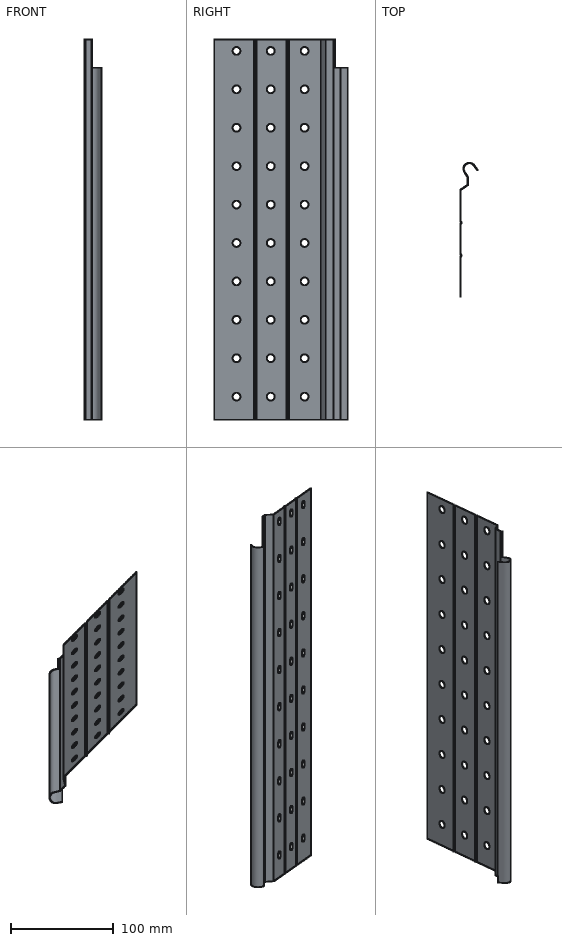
import cadquery as cq
import math

length = 370.0
width = 130.2
depth = 17.0
thickness = 0.55

bead_positions = (40.0, 71.8)
bead_half_width = 1.3
bead_depth = 0.92
step_start_y = 104.0
land_x = 7.0
land_start_y = 108.8
land_end_y = 116.0

hook_radius = 6.0
hook_center_x = 9.0
hook_center_y = width - hook_radius
tip_angle = math.radians(54)

notch_height = 27.5
notch_start_y = 118.0

hole_diameter = 7.5
hole_columns = (22.0, 55.0, 88.0)
hole_count = 10
hole_pitch = 37.5
first_hole_z = 22.5


def shifted(point, angle, distance):
    """Move a point by a distance in the direction of an angle."""
    return (point[0] + distance * math.cos(angle), point[1] + distance * math.sin(angle))


def mitred(points, distance):
    """Offset an open polyline to the right of its direction, with mitred corners."""
    headings = [math.atan2(b[1] - a[1], b[0] - a[0]) for a, b in zip(points, points[1:])]
    before = headings[:1] + headings
    after = headings + headings[-1:]
    moved = []
    for point, heading_in, heading_out in zip(points, before, after):
        normal = (heading_in + heading_out) / 2 - math.pi / 2
        half_turn = (heading_out - heading_in) / 2
        moved.append(shifted(point, normal, distance / math.cos(half_turn)))
    return moved


def hook_start_angle():
    """Angle of the hook radius at which the line from the land is tangent."""
    dx = land_x - hook_center_x
    dy = land_end_y - hook_center_y
    tangent_offset = math.acos(hook_radius / math.hypot(dx, dy))
    return math.atan2(dy, dx) - tangent_offset


def formed_sheet():
    center = (hook_center_x, hook_center_y)
    inner_radius = hook_radius - thickness
    start_angle = hook_start_angle()
    end_angle = math.pi / 2 - tip_angle
    top_angle = math.pi / 2

    face = [(0, 0)]
    for y in bead_positions:
        face += [(0, y - bead_half_width), (bead_depth, y), (0, y + bead_half_width)]
    face += [(0, step_start_y), (land_x, land_start_y), (land_x, land_end_y)]
    face.append(shifted(center, start_angle, hook_radius))
    back = mitred(face, thickness)

    outer_end = shifted(center, end_angle, hook_radius)
    inner_end = shifted(center, end_angle, inner_radius)
    tip_length = (depth - outer_end[0]) / math.cos(tip_angle)
    outer_tip = shifted(outer_end, -tip_angle, tip_length)
    inner_tip = shifted(inner_end, -tip_angle, tip_length)

    profile = (
        cq.Workplane("XY")
        .polyline(face)
        .threePointArc(shifted(center, top_angle, hook_radius), outer_end)
        .lineTo(*outer_tip)
        .lineTo(*inner_tip)
        .lineTo(*inner_end)
        .threePointArc(shifted(center, top_angle, inner_radius), back[-1])
    )
    for point in reversed(back[:-1]):
        profile = profile.lineTo(*point)
    return profile.close().extrude(length)


def hook_notch():
    return cq.Workplane("XY").box(depth, width - notch_start_y, notch_height, centered=False).translate(
        (0, notch_start_y, length - notch_height)
    )


def holes():
    centers = [(y, first_hole_z + row * hole_pitch) for y in hole_columns for row in range(hole_count)]
    return cq.Workplane("YZ").pushPoints(centers).circle(hole_diameter / 2).extrude(depth)


result = formed_sheet().cut(hook_notch()).cut(holes())